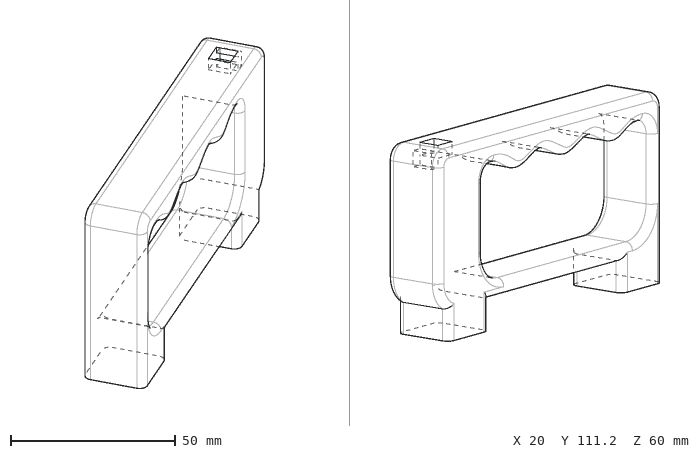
import cadquery as cq
import math

length = 111.2
width = 20.0
height = 60.0

wall = 5.0
edge_round = wall / 2
outer_radius = 5.0
front = -length / 2
back = length / 2

foot_height = 10.0
foot_length = 20.0
back_foot_inset = 5.0
heel_radius = 10.0

opening_length = 84.0
opening_front = front + wall
opening_back = opening_front + opening_length
opening_middle = (opening_front + opening_back) / 2
opening_bottom = foot_height + wall
opening_lower_radius = 10.0
opening_upper_radius = 5.0
grip_peak = 52.0
grip_drop = 4.0
finger_pitch = 24.0
finger_count = 4

pocket_size = 7.0
pocket_depth = 4.0
pocket_center = 44.2
undercut_top = 2.0
undercut_bottom = 7.0
undercut_reach = 3.3

DIAGONAL = math.sqrt(0.5)


def side_sketch():
    """Sketch plane on the -X face, with local axes (Y, Z)."""
    return cq.Workplane("YZ", origin=(-width / 2, 0, 0))


def outer_body():
    foot_back = back - back_foot_inset
    foot_front = foot_back - foot_length
    heel_center_y = back - heel_radius
    heel_reach = foot_back - heel_center_y
    heel_top = foot_height + math.sqrt(heel_radius**2 - heel_reach**2)
    heel_angle = math.acos(heel_reach / heel_radius) / 2
    heel_middle = (
        heel_center_y + heel_radius * math.cos(heel_angle),
        heel_top - heel_radius * math.sin(heel_angle),
    )
    block = (
        side_sketch()
        .moveTo(front, 0)
        .lineTo(front + foot_length, 0)
        .lineTo(front + foot_length, foot_height)
        .lineTo(foot_front, foot_height)
        .lineTo(foot_front, 0)
        .lineTo(foot_back, 0)
        .lineTo(foot_back, foot_height)
        .threePointArc(heel_middle, (back, heel_top))
        .lineTo(back, height)
        .lineTo(front, height)
        .close()
        .extrude(width)
    )
    block = block.edges("|X and >Z").fillet(outer_radius)
    bottom_edges = cq.selectors.BoxSelector(
        (-width, -length, -edge_round), (width, length, edge_round), boundingbox=True
    )
    outline_edges = cq.selectors.InverseSelector(bottom_edges)
    return block.faces("<X or >X").edges(outline_edges).fillet(edge_round)


def grip_points():
    """Groove tops and ridges from the front end of the grip to the back end."""
    grip_front = opening_front + opening_upper_radius
    grip_back = opening_back - opening_upper_radius
    inner_count = 2 * finger_count - 3
    points = [(grip_front, grip_peak)]
    for i in range(inner_count):
        y = opening_middle + (i - (inner_count - 1) / 2) * finger_pitch / 2
        z = grip_peak - grip_drop if i % 2 == 0 else grip_peak
        points.append((y, z))
    points.append((grip_back, grip_peak))
    return points


def opening_surround():
    """Oversize block around the hand opening, with the rim of the opening rounded."""
    lower = opening_lower_radius
    upper = opening_upper_radius
    lower_bulge = lower * (1 - DIAGONAL)
    upper_bulge = upper * (1 - DIAGONAL)
    points = grip_points()
    opening = (
        side_sketch()
        .moveTo(opening_front + lower, opening_bottom)
        .lineTo(opening_back - lower, opening_bottom)
        .threePointArc(
            (opening_back - lower_bulge, opening_bottom + lower_bulge),
            (opening_back, opening_bottom + lower),
        )
        .lineTo(opening_back, grip_peak - upper)
        .threePointArc(
            (opening_back - upper_bulge, grip_peak - upper_bulge),
            (opening_back - upper, grip_peak),
        )
        .spline(points[-2::-1], tangents=[(-1, 0)] * len(points), includeCurrent=True)
        .threePointArc(
            (opening_front + upper_bulge, grip_peak - upper_bulge),
            (opening_front, grip_peak - upper),
        )
        .lineTo(opening_front, opening_bottom + lower)
        .threePointArc(
            (opening_front + lower_bulge, opening_bottom + lower_bulge),
            (opening_front + lower, opening_bottom),
        )
        .close()
        .extrude(width)
    )
    block = cq.Workplane("XY").box(width, 2 * length, 4 * height)
    rim = cq.selectors.BoxSelector(
        (-width, front, 0), (width, back, height), boundingbox=True
    )
    return block.cut(opening).faces("<X or >X").edges(rim).fillet(edge_round)


def pocket():
    return (
        cq.Workplane("XY", origin=(0, pocket_center, height - pocket_depth))
        .rect(pocket_size, pocket_size)
        .extrude(pocket_depth)
    )


def pocket_undercut():
    """Recess under the back lip of the pocket, dropping below the pocket floor."""
    center_y = pocket_center + (pocket_size + undercut_reach) / 2
    return (
        cq.Workplane("XY", origin=(0, center_y, height - undercut_bottom))
        .rect(pocket_size, undercut_reach)
        .extrude(undercut_bottom - undercut_top)
    )


frame = outer_body().intersect(opening_surround())
result = frame.cut(pocket()).cut(pocket_undercut())